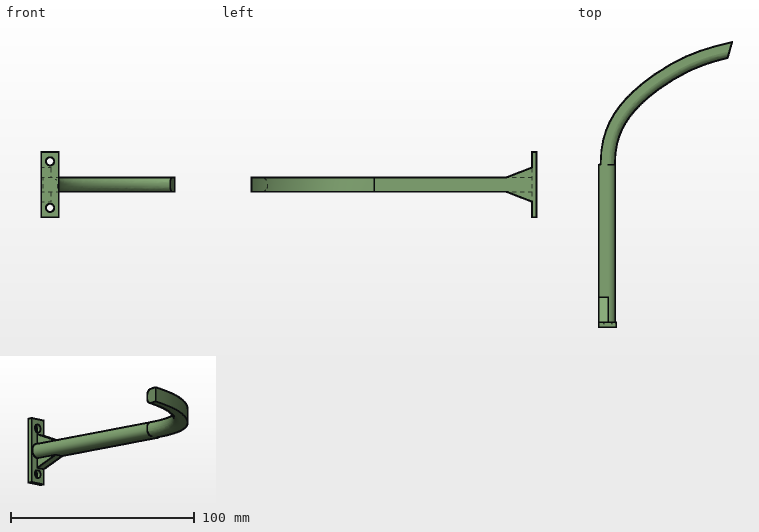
import cadquery as cq
import math

plate_width = 9.6
plate_thickness = 2.6
plate_height = 35.5
hole_diameter = 4.3
hole_spacing = 25.3

bar_height = 7.9
bar_width = 9.0
bar_rounding = 3.7
bar_end = 88.5

arm_step = 1.0
arm_width = 7.9
arm_rounding = 3.4
tip_x = 72.6
tip_y = 155.2
tip_heading = 13.0
tip_cut_angle = 16.0
arm_waypoints = [(12.9, 122.1), (40.0, 143.5)]

gusset_width = bar_width - bar_rounding
gusset_end = 16.5
gusset_half_height = 9.3


def rounded_bar(x_start, y_start, width, length, rounding):
    """Straight length of bar along Y with both inner edges rounded."""
    blank = cq.Workplane("XY").box(width, length, bar_height, centered=(False, False, True))
    bar = blank.edges(">X and |Y").fillet(rounding)
    return bar.translate((x_start, y_start, 0))


def mounting_plate():
    blank = cq.Workplane("XY").box(
        plate_width, plate_thickness, plate_height, centered=(False, False, True)
    )
    return (
        blank.faces("<Y").workplane(origin=(plate_width / 2, 0, 0))
        .rarray(1.5, hole_spacing, 1, 2)
        .hole(hole_diameter)
    )


def curved_arm():
    """Sweep the bar section along the outer curve of the arm and trim its tip at a slant."""
    start = (arm_step, bar_end)
    heading = math.radians(tip_heading)
    path = cq.Workplane("XY").spline(
        [start, *arm_waypoints, (tip_x, tip_y)],
        tangents=[(0, 1), (math.cos(heading), math.sin(heading))],
    )
    section_length = 1.5
    stub = rounded_bar(arm_step, bar_end, arm_width, section_length, arm_rounding)
    section = stub.faces("<Y").wires().val()
    arm = cq.Workplane("XY").add(section).toPending().sweep(path)
    cut_depth = 2 * arm_width
    cut_setback = cut_depth * math.tan(math.radians(tip_cut_angle))
    trim = (
        cq.Workplane("XY")
        .polyline([
            (tip_x, tip_y),
            (tip_x - cut_setback, tip_y - cut_depth),
            (tip_x + cut_depth, tip_y - cut_depth),
            (tip_x + cut_depth, tip_y),
        ])
        .close()
        .extrude(bar_height, both=True)
    )
    return arm.cut(trim)


def gusset():
    """Symmetric wedge tapering from the plate to the bar surface."""
    half_bar = bar_height / 2
    return (
        cq.Workplane("YZ")
        .polyline([
            (plate_thickness, -gusset_half_height),
            (gusset_end, -half_bar),
            (gusset_end, half_bar),
            (plate_thickness, gusset_half_height),
        ])
        .close()
        .extrude(gusset_width)
    )


straight_bar = rounded_bar(0, plate_thickness, bar_width, bar_end - plate_thickness, bar_rounding)
result = mounting_plate().union(straight_bar).union(gusset()).union(curved_arm())